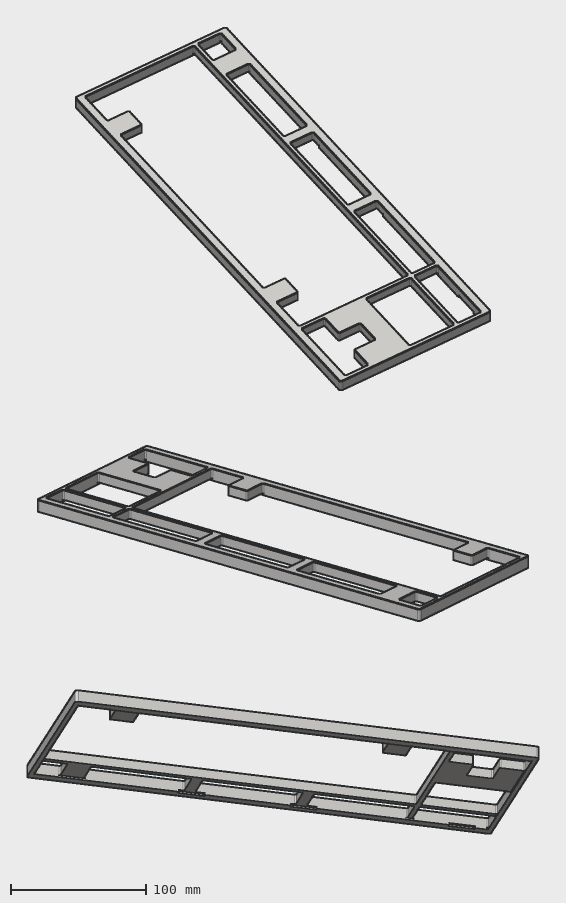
import cadquery as cq
length = 356.5
width = 134.0
height = 9.5
corner_radius = 2.07
top_edge_chamfer = 0.5

key_field_length = 347.7
field_columns = 18.25
field_rows = 6.25
pitch = key_field_length / field_columns
clearance = 0.5
opening_corner_radius = 1.05

grid_x = -key_field_length / 2
grid_y = -field_rows * pitch / 2

main_columns = 15
main_rows = 5
filler_columns = (1.5, 12.5)
function_row = 5.25
escape_column = 0
function_group_columns = (2, 6.5, 11)
function_group_keys = 4
navigation_column = 15.25
navigation_keys = 3
navigation_row = 3
navigation_rows = 2

underside_depth = 1.57
notch_length = 20.0
notch_depth = 2.0
notch_centers_x = (-53.0, 32.8, 154.8)


def key_block(column, row, columns, rows, margin, block_height=height):
    """Block standing on the bottom plane over a group of keys, grown by margin on every side."""
    block = cq.Workplane("XY").box(
        columns * pitch + 2 * margin,
        rows * pitch + 2 * margin,
        block_height,
        centered=False,
    )
    return block.translate((grid_x + column * pitch - margin, grid_y + row * pitch - margin, 0))


def opening(column, row, columns, rows):
    return key_block(column, row, columns, rows, clearance)


def round_corners(block):
    return block.edges("|Z").fillet(opening_corner_radius)


def frame_blank():
    blank = cq.Workplane("XY").box(length, width, height, centered=(True, True, False))
    return blank.edges("|Z").fillet(corner_radius)


def main_opening():
    """Main key field, with two one-key fillers left standing in its front row."""
    field = opening(0, 0, main_columns, main_rows)
    for column in filler_columns:
        filler = key_block(column, 0, 1, 1, -clearance)
        filler_root = filler.translate((0, -2 * clearance, 0))
        field = field.cut(filler.union(filler_root))
    return round_corners(field)


def function_row_openings():
    """Escape key, the function key groups and the navigation group behind the main field."""
    groups = [(escape_column, 1), (navigation_column, navigation_keys)]
    groups += [(column, function_group_keys) for column in function_group_columns]
    return [round_corners(opening(column, function_row, keys, 1)) for column, keys in groups]


def navigation_opening():
    return round_corners(opening(navigation_column, navigation_row, navigation_keys, navigation_rows))


def arrow_opening():
    """Three keys in the front row and one behind the middle key."""
    front_keys = opening(navigation_column, 0, navigation_keys, 1)
    up_key = opening(navigation_column + 1, 1, 1, 1)
    return round_corners(front_keys.union(up_key))


def underside_recess():
    return key_block(0, 0, field_columns, field_rows, clearance, underside_depth)


def back_rail_notches():
    inner_face_y = -grid_y + clearance
    centers = [(x, inner_face_y) for x in notch_centers_x]
    return (
        cq.Workplane("XY")
        .pushPoints(centers)
        .rect(notch_length, 2 * notch_depth)
        .extrude(underside_depth)
    )


result = frame_blank()
for cutter in [main_opening(), navigation_opening(), arrow_opening()] + function_row_openings():
    result = result.cut(cutter)
result = result.faces(">Z").edges().chamfer(top_edge_chamfer)
result = result.cut(underside_recess()).cut(back_rail_notches())